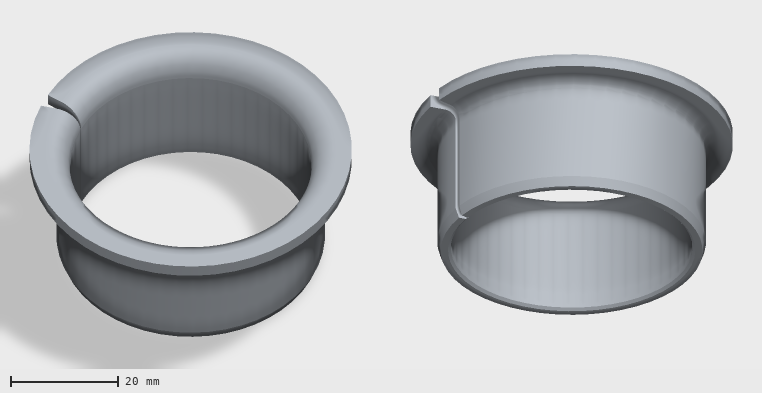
import cadquery as cq
import math

bore_radius = 22.5
wall = 2.5
flange_radius = 30.0
length = 25.0

outer_bend_radius = 2.0
inner_bend_radius = outer_bend_radius + wall

lead_in_height = 1.8
lead_in_angle = 20.0
bore_chamfer = 0.5

split_width_at_rim = 3.0
split_half_angle = 10.0

sleeve_radius = bore_radius + wall
bend_centre_radius = sleeve_radius + outer_bend_radius
bend_centre_height = length - inner_bend_radius
flange_underside = length - wall
lead_in_depth = lead_in_height * math.tan(math.radians(lead_in_angle))


def bend_midpoint(radius):
    """Middle of a quarter arc running from the sleeve side to the flange side."""
    offset = radius * math.sqrt(0.5)
    return bend_centre_radius - offset, bend_centre_height + offset


def bushing_body():
    """Revolve the wall section, drawn in the XZ plane, around the Z axis."""
    section = (
        cq.Workplane("XZ")
        .moveTo(bore_radius + bore_chamfer, 0)
        .lineTo(sleeve_radius - lead_in_depth, 0)
        .lineTo(sleeve_radius, lead_in_height)
        .lineTo(sleeve_radius, bend_centre_height)
        .threePointArc(bend_midpoint(outer_bend_radius), (bend_centre_radius, flange_underside))
        .lineTo(flange_radius, flange_underside)
        .lineTo(flange_radius, length)
        .lineTo(bend_centre_radius, length)
        .threePointArc(bend_midpoint(inner_bend_radius), (bore_radius, bend_centre_height))
        .lineTo(bore_radius, bore_chamfer)
        .close()
    )
    body = section.revolve(360, (0, 0), (0, 1))
    return body.rotate((0, 0, 0), (0, 0, 1), 180)


def split_wedge():
    """Full-height wedge whose sides meet at a point just inside the bore."""
    slope = math.tan(math.radians(split_half_angle))
    rim_half_width = split_width_at_rim / 2
    rim_distance = math.sqrt(flange_radius**2 - rim_half_width**2)
    apex_x = rim_half_width / slope - rim_distance
    outer_x = -(flange_radius + wall)
    outer_half_width = (apex_x - outer_x) * slope
    outline = [(apex_x, 0), (outer_x, outer_half_width), (outer_x, -outer_half_width)]
    return cq.Workplane("XY").polyline(outline).close().extrude(length)


result = bushing_body().cut(split_wedge())